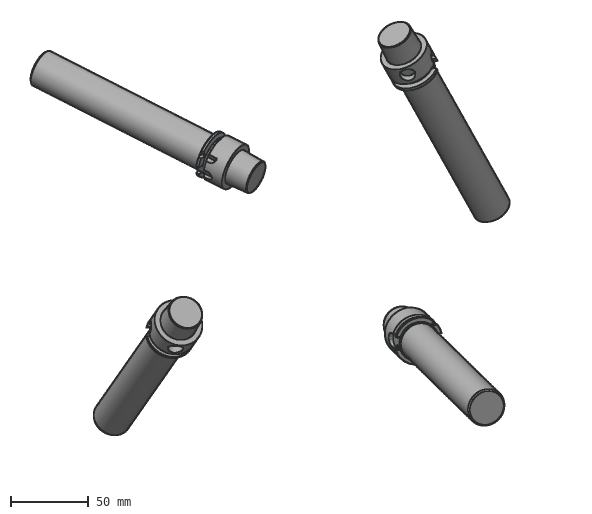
import cadquery as cq
import math


shank_length = 150.0
shank_radius = 25.0 / 2
shank_chamfer = 1.0

flange_radius = 32.0 / 2
flange_width = 20.0
collar_radius = 26.5 / 2
collar_length = 1.0
collar_start = -flange_width - collar_length
groove_center = -16.0
groove_opening_width = 4.0
groove_floor_width = 1.5
groove_floor_radius = collar_radius

taper_length = 16.0
taper_base_radius = 12.16
taper_ratio = 9.98
taper_end_chamfer = 0.5

slot_floor_offset = 13.0
slot_end = -7.7
slot_corner_radius = 3.5
narrow_slot_width = 7.0
wide_slot_width = 9.0

notch_offset_y = 9.5
notch_offset_z = 9.6
notch_end = -8.0
notch_end_radius = 3.5

pocket_radius = 10.0 / 2
pocket_center = -6.5
pocket_depth = 4.6

cutter_clearance = 4.0
cutter_reach = flange_radius + cutter_clearance


def turned_body():
    """Revolve the half outline of shank, collar, grooved flange and taper."""
    half_floor = groove_floor_width / 2
    half_opening = groove_opening_width / 2
    taper_end_radius = taper_base_radius - taper_length / taper_ratio / 2
    chamfer_start = taper_length - taper_end_chamfer
    chamfer_start_radius = taper_base_radius - chamfer_start / taper_ratio / 2
    outline = [
        (-shank_length, 0),
        (-shank_length, shank_radius - shank_chamfer),
        (-shank_length + shank_chamfer, shank_radius),
        (collar_start, shank_radius),
        (collar_start, collar_radius),
        (-flange_width, collar_radius),
        (-flange_width, flange_radius),
        (groove_center - half_opening, flange_radius),
        (groove_center - half_floor, groove_floor_radius),
        (groove_center + half_floor, groove_floor_radius),
        (groove_center + half_opening, flange_radius),
        (0, flange_radius),
        (0, taper_base_radius),
        (chamfer_start, chamfer_start_radius),
        (taper_length, taper_end_radius - taper_end_chamfer),
        (taper_length, 0),
    ]
    return cq.Workplane("XY").polyline(outline).close().revolve(360, (0, 0, 0), (1, 0, 0))


def drive_slot(width, side):
    """Slot cutter with rounded end corners; side is -1 for -Y and +1 for +Y."""
    half_width = width / 2
    corner_z = half_width - slot_corner_radius
    corner_x = slot_end - slot_corner_radius
    diagonal = slot_corner_radius * math.sqrt(0.5)
    outline = (
        cq.Workplane("XZ", origin=(0, side * slot_floor_offset, 0))
        .moveTo(-flange_width, -half_width)
        .lineTo(corner_x, -half_width)
        .threePointArc((corner_x + diagonal, -corner_z - diagonal), (slot_end, -corner_z))
    )
    if corner_z > 0:
        outline = outline.lineTo(slot_end, corner_z)
    outline = (
        outline.threePointArc((corner_x + diagonal, corner_z + diagonal), (corner_x, half_width))
        .lineTo(-flange_width, half_width)
        .close()
    )
    return outline.extrude(-side * (cutter_reach - slot_floor_offset))


def orientation_notch():
    """Corner cutter whose floor curves up to its end wall."""
    return (
        cq.Workplane("XY")
        .box(
            notch_end + flange_width,
            cutter_reach - notch_offset_y,
            cutter_reach - notch_offset_z,
            centered=False,
        )
        .edges("|Y and >X and <Z")
        .fillet(notch_end_radius)
        .translate((-flange_width, -cutter_reach, notch_offset_z))
    )


def side_pocket():
    """Flat-bottomed round pocket opening on the -Z side."""
    return (
        cq.Workplane("XY", origin=(pocket_center, 0, -cutter_reach))
        .circle(pocket_radius)
        .extrude(cutter_clearance + pocket_depth)
    )


result = (
    turned_body()
    .cut(drive_slot(narrow_slot_width, -1))
    .cut(drive_slot(wide_slot_width, 1))
    .cut(orientation_notch())
    .cut(side_pocket())
)